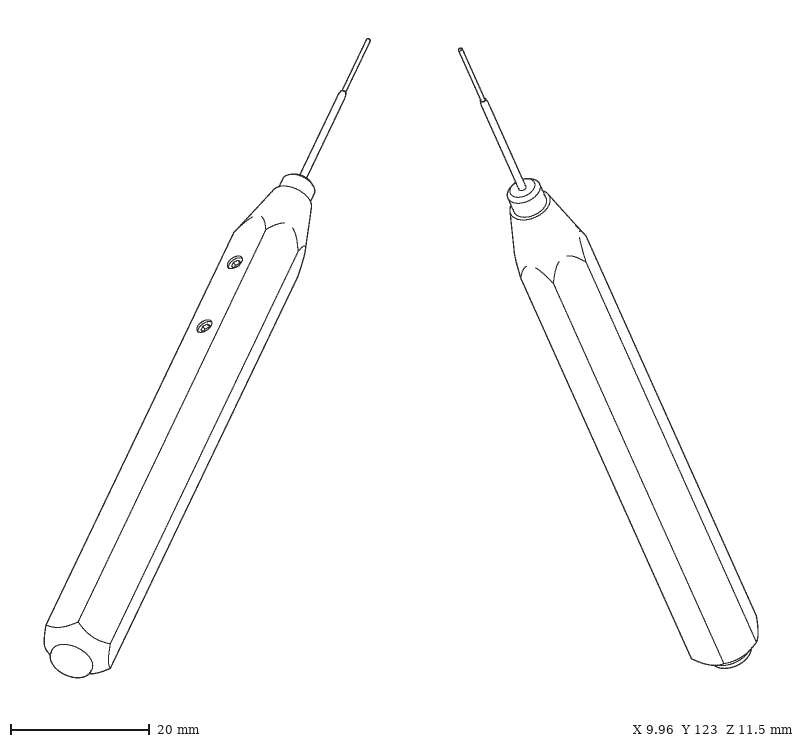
import cadquery as cq
import math

total_length = 123
tip_y = total_length / 2
back_y = -total_length / 2

across_corners = 11.5
corner_radius = across_corners / 2
flat_distance = corner_radius * math.cos(math.radians(30))

needle_step = 10.5
collar_front = 28.3
nose_front = 31.7
nose_back = 42.3

wire_radius = 0.31
wire_chamfer = 0.18
needle_radius = 0.55
needle_taper_length = 0.7
needle_taper_drop = 0.1
collar_radius = 2.52
collar_chamfer = 0.6
nose_radius = 3.1

button_radius = 3.2
button_length = 1.0
button_rounding = 0.6
button_edge_y = back_y + button_length
back_cone_length = corner_radius - button_radius

screw_stations = (48.5, 61.0)
screw_radius = 1.2
screw_depth = 0.4
socket_across_corners = 1.5
socket_depth = 0.6
screw_flat_angle = 120


def station(distance):
    """Y position of a point a given distance behind the needle tip."""
    return tip_y - distance


def turned(points):
    """Solid of revolution about Y from a (y, radius) outline that ends on the axis."""
    return cq.Workplane("YZ").polyline(points).close().revolve(360, (0, 0), (1, 0))


def make_grip():
    """Hexagonal bar with a long nose cone in front and a short cone behind."""
    bar = (
        cq.Workplane("XZ", origin=(0, station(nose_front), 0))
        .polygon(6, across_corners)
        .extrude(station(nose_front) - button_edge_y)
        .rotate((0, 0, 0), (0, 1, 0), 30)
    )
    envelope = turned([
        (button_edge_y, 0),
        (button_edge_y, button_radius),
        (button_edge_y + back_cone_length, corner_radius),
        (station(nose_back), corner_radius),
        (station(nose_front), nose_radius),
        (station(nose_front), 0),
    ])
    return bar.intersect(envelope)


def make_button():
    """Rounded disc closing the back end."""
    return (
        cq.Workplane("XZ", origin=(0, button_edge_y, 0))
        .circle(button_radius)
        .extrude(button_length)
        .faces("<Y")
        .edges()
        .fillet(button_rounding)
    )


def make_needle():
    """Chamfered collar, needle with a tapered end, and thin chamfered wire."""
    return turned([
        (station(nose_front), 0),
        (station(nose_front), collar_radius),
        (station(collar_front + collar_chamfer), collar_radius),
        (station(collar_front), collar_radius - collar_chamfer),
        (station(collar_front), needle_radius),
        (station(needle_step + needle_taper_length), needle_radius),
        (station(needle_step), needle_radius - needle_taper_drop),
        (station(needle_step), wire_radius),
        (tip_y - wire_chamfer, wire_radius),
        (tip_y, wire_radius - wire_chamfer),
        (tip_y, 0),
    ])


def make_screw_recess(distance):
    """Round recess with a hexagonal socket in its floor."""
    angle = math.radians(screw_flat_angle)
    outward = cq.Vector(math.cos(angle), 0, math.sin(angle))
    surface = outward * flat_distance + cq.Vector(0, station(distance), 0)
    plane = cq.Plane(origin=surface, xDir=(0, 1, 0), normal=outward)
    socket_bottom = screw_depth + socket_depth
    recess = cq.Workplane(plane).circle(screw_radius).extrude(-screw_depth)
    socket = cq.Workplane(plane).polygon(6, socket_across_corners).extrude(-socket_bottom)
    return recess.union(socket)


result = make_grip().union(make_button()).union(make_needle())
for screw_station in screw_stations:
    result = result.cut(make_screw_recess(screw_station))